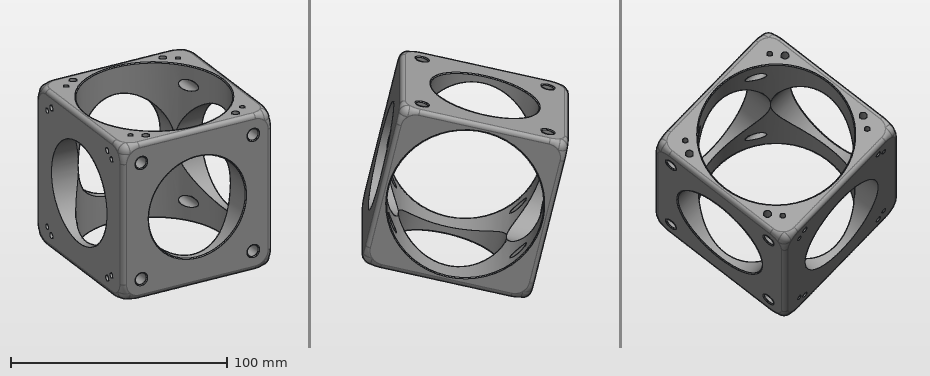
import cadquery as cq
import math

side = 80.0
half = side / 2
edge_radius = 2.2
corner_setback = 9.0
flare_radius = corner_setback - edge_radius
corner_radius = corner_setback - flare_radius / math.sqrt(2)
flare_sections = 5
overcut = 0.8

side_opening_diameter = 51.5
top_opening_diameter = 72.6
rim_chamfer = 0.5

hole_offset = 29.8
rod_hole_diameter = 5.8
pin_hole_diameter = 2.5
pin_hole_depth = 6.0

front_screw_diameter = 2.8
front_screw_x = 25.9
front_screw_z = 32.8
top_screw_diameter = 3.6
top_screw_x = 33.8
top_screw_y = 23.9
screw_depth = 10.0
drill_tip_angle = 118.0

front_face = cq.Workplane(cq.Plane((0, -half, 0), (1, 0, 0), (0, 1, 0)))
left_face = cq.Workplane(cq.Plane((-half, 0, 0), (0, 1, 0), (1, 0, 0)))
top_face = cq.Workplane(cq.Plane((0, 0, half), (1, 0, 0), (0, 0, -1)))


def four_places(across, up):
    return [(i * across, j * up) for i in (-1, 1) for j in (-1, 1)]


def edge_waste_section(distance):
    """Area outside the edge rounding, at a distance from the vertex along X."""
    run = max(corner_setback - distance, 0)
    radius = corner_setback - math.sqrt(flare_radius**2 - run**2)
    middle = radius * (1 - math.sqrt(0.5))
    return (
        cq.Workplane("YZ", origin=(distance, 0, 0))
        .moveTo(-overcut, -overcut)
        .lineTo(radius, -overcut)
        .lineTo(radius, 0)
        .threePointArc((middle, middle), (0, radius))
        .lineTo(-overcut, radius)
        .close()
        .val()
    )


def edge_waste():
    """Waste along X, in two lengths: the flare near the vertex and the constant rounding."""
    step = (corner_setback - corner_radius) / (flare_sections - 1)
    sections = [edge_waste_section(corner_radius + i * step) for i in range(flare_sections)]
    flare = cq.Solid.makeLoft(sections)
    straight = cq.Solid.makeLoft([edge_waste_section(corner_setback), edge_waste_section(half)])
    return [flare, straight]


def vertex_waste():
    """Waste around the vertex, outside a sphere tangent to the three faces."""
    width = corner_radius + overcut
    block = cq.Workplane().box(width, width, width, centered=False).translate((-overcut,) * 3)
    ball = cq.Workplane().sphere(corner_radius).rotate((0, 0, 0), (1, 0, 0), 45)
    ball = ball.translate((corner_radius,) * 3)
    return block.cut(ball)


def rounded_cube():
    eighth = cq.Workplane().box(half, half, half, centered=False)
    for turn in range(3):
        for waste in edge_waste():
            eighth = eighth.cut(cq.Workplane(waste).rotate((0, 0, 0), (1, 1, 1), 120 * turn))
    body = eighth.cut(vertex_waste()).translate((-half, -half, -half))
    for plane in ("XY", "XZ", "YZ"):
        body = body.union(body.mirror(plane))
    return body


def through_holes(face, diameter, places=((0, 0),), chamfer=0.0):
    """Round holes through the whole cube, chamfered alike at both ends."""
    cutter = face.pushPoints(places).circle(diameter / 2).extrude(side)
    if chamfer:
        base = diameter / 2 + chamfer
        for start, direction in ((0, 1), (side, -1)):
            for across, up in places:
                tip = face.plane.toWorldCoords((across, up, start))
                cone = cq.Solid.makeCone(base, 0, base, tip, face.plane.zDir * direction)
                cutter = cutter.union(cq.Workplane(cone))
    return cutter


def blind_holes(face, diameter, depth, places):
    return face.pushPoints(places).circle(diameter / 2).extrude(depth)


def drilled_holes(face, diameter, depth, places):
    """Blind holes that end in a drill point."""
    radius = diameter / 2
    tip_height = radius / math.tan(math.radians(drill_tip_angle / 2))
    cutter = blind_holes(face, diameter, depth, places)
    for across, up in places:
        shoulder = face.plane.toWorldCoords((across, up, depth))
        cone = cq.Solid.makeCone(radius, 0, tip_height, shoulder, face.plane.zDir)
        cutter = cutter.union(cq.Workplane(cone))
    return cutter


pin_places = four_places(hole_offset, hole_offset)
front_screw_places = four_places(front_screw_x, front_screw_z)
top_screw_places = four_places(top_screw_x, top_screw_y)

result = (
    rounded_cube()
    .cut(through_holes(front_face, side_opening_diameter))
    .cut(through_holes(left_face, side_opening_diameter, chamfer=rim_chamfer))
    .cut(through_holes(top_face, top_opening_diameter, chamfer=rim_chamfer))
    .cut(through_holes(left_face, rod_hole_diameter, pin_places, rim_chamfer))
    .cut(blind_holes(front_face, pin_hole_diameter, pin_hole_depth, pin_places))
    .cut(blind_holes(top_face, pin_hole_diameter, pin_hole_depth, pin_places))
    .cut(blind_holes(front_face, front_screw_diameter, screw_depth, front_screw_places))
    .cut(drilled_holes(top_face, top_screw_diameter, screw_depth, top_screw_places))
)